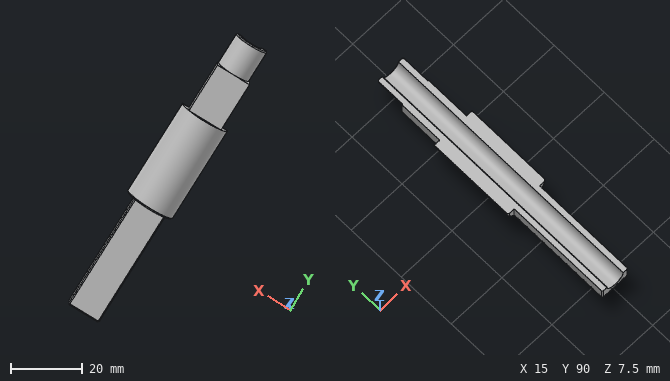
import cadquery as cq

length = 90.0
barrel_radius = 7.5
barrel_start = 35.3
barrel_end = 64.9
barrel_chamfer = 0.45
groove_radius = 3.15

front_width = 10.1
front_depth = 5.1
front_chamfer = 0.4

rear_width = 10.6
rear_depth = 5.2
tip_start = 80.1
tip_radius = 5.0
tip_chamfer = 0.4


def bar(width, depth, start, end):
    """Rectangular bar hanging below the flat face."""
    return cq.Workplane("XY").box(
        width, end - start, depth, centered=(True, False, False)
    ).translate((0, start, -depth))


def rod(radius, start, end):
    """Full round rod about the Y axis."""
    return cq.Workplane("XZ", origin=(0, start, 0)).circle(radius).extrude(start - end)


front_arm = bar(front_width, front_depth, 0, barrel_start)
front_arm = front_arm.edges("|Y and <Z").chamfer(front_chamfer)
front_arm = front_arm.faces("<Y").edges("not >Z").chamfer(front_chamfer)

barrel = rod(barrel_radius, barrel_start, barrel_end).faces("<Y").edges().chamfer(barrel_chamfer)
rear_arm = bar(rear_width, rear_depth, barrel_end, tip_start)
tip = rod(tip_radius, tip_start, length).faces(">Y").edges().chamfer(tip_chamfer)

body = barrel.union(front_arm).union(rear_arm).union(tip)
lower_half = bar(2 * barrel_radius, barrel_radius, 0, length)
result = body.intersect(lower_half).cut(rod(groove_radius, 0, length))